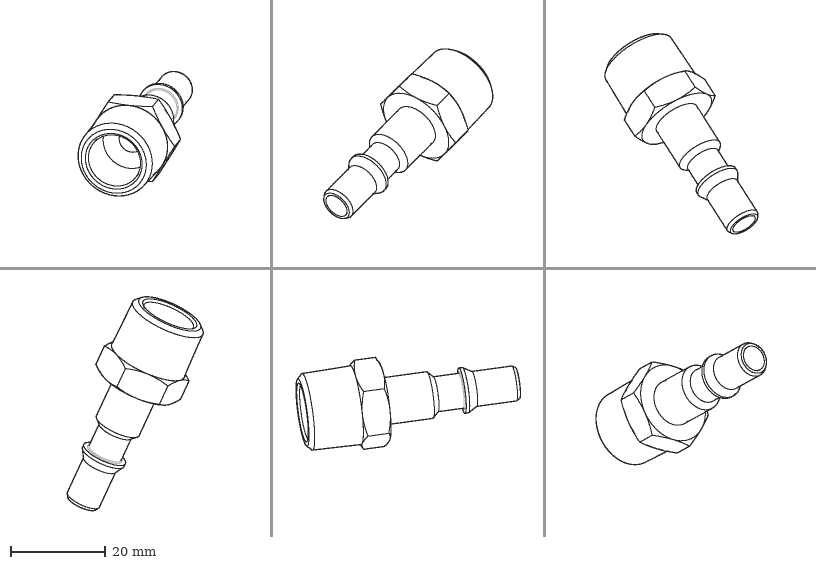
import cadquery as cq
import math

total_length = 46.5
hex_start = 11.5
hex_end = 17.5
shoulder_start = 27.55
collar_start = 34.45
collar_rim_end = 35.2
tip_chamfer_length = 0.75

thread_end_radius = 8.25
thread_root_radius = 8.45
thread_chamfer = 1.0
shank_radius = 5.0
neck_radius = 3.75
collar_radius = 4.9
tip_radius = 3.35
collar_fillet = 0.25

hex_flats = 17.0
hex_bevel_angle = 30.0

bore_radius = 2.75
socket_radius = 5.75
socket_depth = hex_start
socket_chamfer = 0.5
drill_half_angle = 60.0
collar_half_angle = 30.0


def revolve_about_y(points):
    """Revolve a closed (radius, y) outline about the Y axis."""
    return cq.Workplane("XY").polyline(points).close().revolve(360, (0, 0, 0), (0, 1, 0))


def make_thread_body():
    return revolve_about_y([
        (0, 0),
        (thread_end_radius - thread_chamfer, 0),
        (thread_end_radius, thread_chamfer),
        (thread_root_radius, hex_start),
        (0, hex_start),
    ])


def make_hexagon():
    across_corners = hex_flats / math.cos(math.radians(30))
    flat_radius = hex_flats / 2
    corner_radius = across_corners / 2
    bevel_length = (corner_radius - flat_radius) * math.tan(math.radians(hex_bevel_angle))
    prism = (
        cq.Workplane("XZ", origin=(0, hex_start, 0))
        .polygon(6, across_corners)
        .extrude(hex_start - hex_end)
    )
    bevel_envelope = revolve_about_y([
        (0, hex_start),
        (flat_radius, hex_start),
        (corner_radius, hex_start + bevel_length),
        (corner_radius, hex_end - bevel_length),
        (flat_radius, hex_end),
        (0, hex_end),
    ])
    return prism.intersect(bevel_envelope)


def make_plug():
    """Shank, neck, retaining collar and tip, from the hexagon outward."""
    shoulder_end = shoulder_start + shank_radius - neck_radius
    collar_cone_length = (collar_radius - neck_radius) / math.tan(math.radians(collar_half_angle))
    fillet_mid_offset = collar_fillet * (1 - math.sqrt(0.5))
    outline = (
        cq.Workplane("XY")
        .moveTo(0, hex_end)
        .lineTo(shank_radius, hex_end)
        .lineTo(shank_radius, shoulder_start)
        .lineTo(neck_radius, shoulder_end)
        .lineTo(neck_radius, collar_start - collar_fillet)
        .threePointArc(
            (neck_radius + fillet_mid_offset, collar_start - fillet_mid_offset),
            (neck_radius + collar_fillet, collar_start),
        )
        .lineTo(collar_radius, collar_start)
        .lineTo(collar_radius, collar_rim_end)
        .lineTo(neck_radius, collar_rim_end + collar_cone_length)
        .lineTo(neck_radius, total_length - tip_chamfer_length)
        .lineTo(tip_radius, total_length)
        .lineTo(0, total_length)
        .close()
    )
    return outline.revolve(360, (0, 0, 0), (0, 1, 0))


def make_bore():
    """Through bore with a chamfered socket that ends in a drill-point cone."""
    cone_length = (socket_radius - bore_radius) / math.tan(math.radians(drill_half_angle))
    return revolve_about_y([
        (0, 0),
        (socket_radius + socket_chamfer, 0),
        (socket_radius, socket_chamfer),
        (socket_radius, socket_depth),
        (bore_radius, socket_depth + cone_length),
        (bore_radius, total_length),
        (0, total_length),
    ])


fitting = make_thread_body().union(make_hexagon()).union(make_plug()).cut(make_bore())

result = fitting.translate((0, -total_length / 2, 0))